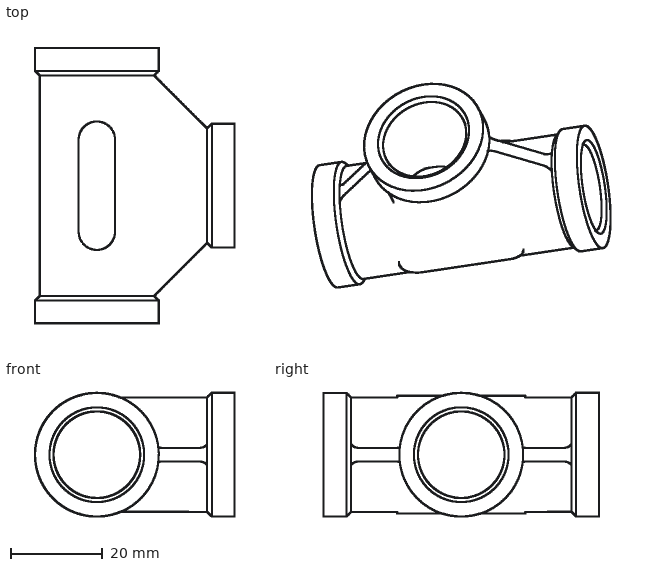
import cadquery as cq
import math

run_length = 60.0
branch_reach = 30.0
collar_radius = 13.5
collar_length = 6.0
collar_chamfer = 1.0
bore_radius = 9.4
bore_chamfer = 0.9
web_thickness = 3.0
joint_fillet = 2.0
pad_length = 27.95
pad_width = 7.9
pad_fillet = 0.1
pad_span = 25.7
tolerance = 0.005

run_half = run_length / 2
pipe_radius = collar_radius - collar_chamfer
run_pipe_half = run_half - collar_length
branch_pipe_end = branch_reach - collar_length

open_ends = [
    (cq.Vector(0, 1, 0), run_half),
    (cq.Vector(0, -1, 0), run_half),
    (cq.Vector(1, 0, 0), branch_reach),
]


def run_pipe():
    """Solid cylinder along the whole run, with no seam at the centre of the tee."""
    return cq.Workplane("XZ").circle(pipe_radius).extrude(run_pipe_half, both=True)


def branch_pipe():
    """Solid cylinder from the centre of the tee along the branch."""
    return cq.Workplane("YZ").circle(pipe_radius).extrude(branch_pipe_end)


def web_blank():
    """Flat plate filling both corners between the run and the branch."""
    return cq.Workplane("XY").box(
        branch_pipe_end, 2 * run_pipe_half, web_thickness, centered=(False, True, True)
    )


def pads():
    """Round-ended pads standing on the top and the bottom of the run."""
    return cq.Workplane("XY").slot2D(pad_length, pad_width, 90).extrude(pad_span / 2, both=True)


def fillet_joints(body):
    """Round the inner edges that meet where run, branch and web come together."""
    web_face = web_thickness / 2
    joint = math.sqrt(pipe_radius**2 - web_face**2)
    corners = [
        cq.Vector(joint, side * joint, level) for side in (1, -1) for level in (web_face, -web_face)
    ]

    def touches_corner(edge):
        ends = (edge.startPoint(), edge.endPoint())
        return any((end - corner).Length < tolerance for end in ends for corner in corners)

    return body.edges().filter(touches_corner).fillet(joint_fillet)


def fillet_pads(body):
    """Round the outlines of both pads, at the face and at the base."""
    zone_x = pad_width / 2 + tolerance
    zone_y = pad_length / 2 + tolerance
    pad_zone = cq.selectors.BoxSelector(
        (-zone_x, -zone_y, -pad_span), (zone_x, zone_y, pad_span), boundingbox=True
    )
    return body.edges(pad_zone).edges("not |Z").fillet(pad_fillet)


def web_corner(side):
    """Prism outside the sloping edge of the web on one side of the branch."""
    return (
        cq.Workplane("XY")
        .moveTo(pipe_radius, side * run_pipe_half)
        .lineTo(branch_pipe_end, side * pipe_radius)
        .lineTo(branch_pipe_end, side * run_pipe_half)
        .close()
        .extrude(pipe_radius, both=True)
    )


def collar(axis, reach):
    """End collar with its inner edge chamfered down to the pipe."""
    taper = cq.Solid.makeCone(
        pipe_radius, collar_radius, collar_chamfer, axis * (reach - collar_length), axis
    )
    band_length = collar_length - collar_chamfer
    band = cq.Solid.makeCylinder(collar_radius, band_length, axis * (reach - band_length), axis)
    return cq.Workplane(taper).union(cq.Workplane(band))


def bore(axis, reach):
    """Bore from the centre of the tee to one open end, chamfered at the mouth."""
    hole = cq.Solid.makeCylinder(bore_radius, reach, cq.Vector(), axis)
    mouth = cq.Solid.makeCone(
        bore_radius, bore_radius + bore_chamfer, bore_chamfer, axis * (reach - bore_chamfer), axis
    )
    return cq.Workplane(hole).union(cq.Workplane(mouth))


body = run_pipe().union(branch_pipe()).union(web_blank()).union(pads())
body = fillet_joints(body)
body = fillet_pads(body)

for web_side in (1, -1):
    body = body.cut(web_corner(web_side))

for end_axis, end_reach in open_ends:
    body = body.union(collar(end_axis, end_reach))

for end_axis, end_reach in open_ends:
    body = body.cut(bore(end_axis, end_reach))

result = body